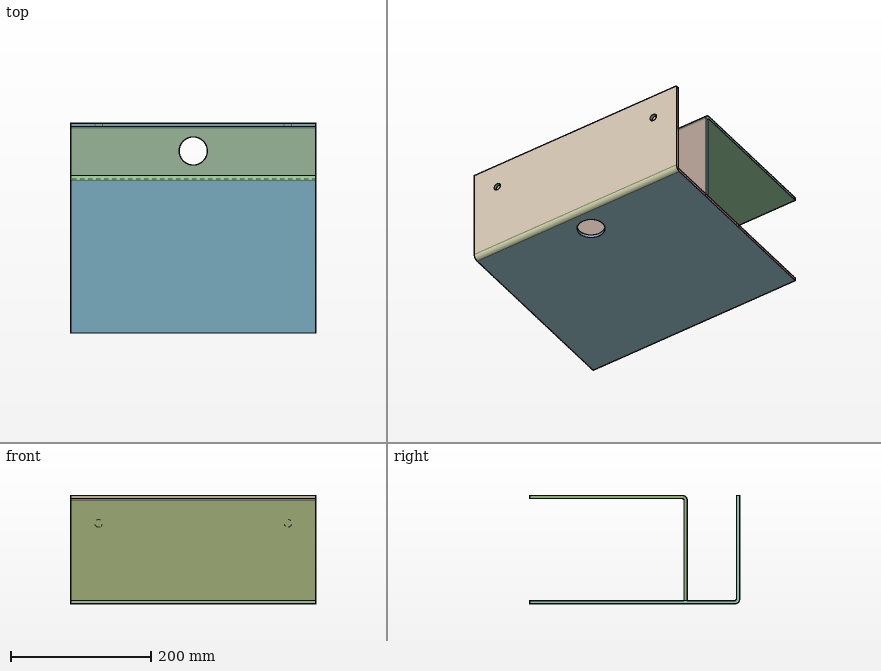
import cadquery as cq

width = 350.0
depth = 300.0
height = 155.0

sheet = 5.0
inner_bend_radius = 2.5
outer_bend_radius = inner_bend_radius + sheet

shelf_setback = 75.0

opening_diameter = 40.0
opening_setback = 40.0

mount_diameter = 11.0
mount_side_margin = 40.0
mount_top_margin = 40.0

front_y = -depth


def bent_sheet(wall_y, flange_z, wall_end_z):
    """L-shaped sheet: a wall with its back at wall_y and a flange running to the front.

    flange_z is the outer face of the flange; the wall ends at wall_end_z.
    """
    inward = 1 if wall_end_z > flange_z else -1
    inner_y = wall_y - sheet
    inner_z = flange_z + inward * sheet
    bend_y = wall_y - outer_bend_radius
    bend_z = flange_z + inward * outer_bend_radius
    diagonal = 0.5 ** 0.5

    def bend_middle(radius):
        return (bend_y + radius * diagonal, bend_z - inward * radius * diagonal)

    return (
        cq.Workplane("YZ")
        .workplane(offset=-width / 2)
        .moveTo(front_y, flange_z)
        .lineTo(bend_y, flange_z)
        .threePointArc(bend_middle(outer_bend_radius), (wall_y, bend_z))
        .lineTo(wall_y, wall_end_z)
        .lineTo(inner_y, wall_end_z)
        .lineTo(inner_y, bend_z)
        .threePointArc(bend_middle(inner_bend_radius), (bend_y, inner_z))
        .lineTo(front_y, inner_z)
        .close()
        .extrude(width)
    )


def make_bracket():
    """Base and back plate, with the round opening and the mounting holes."""
    bracket = bent_sheet(wall_y=0, flange_z=0, wall_end_z=height)
    opening = (
        cq.Workplane("XY")
        .center(0, -opening_setback)
        .circle(opening_diameter / 2)
        .extrude(sheet)
    )
    mount_x = width / 2 - mount_side_margin
    mount_z = height - mount_top_margin
    mounts = (
        cq.Workplane("XZ")
        .pushPoints([(-mount_x, mount_z), (mount_x, mount_z)])
        .circle(mount_diameter / 2)
        .extrude(sheet)
    )
    return bracket.cut(opening).cut(mounts)


def make_shelf():
    """Upright wall standing on the base, bent forward into the top shelf."""
    return bent_sheet(wall_y=-shelf_setback, flange_z=height, wall_end_z=sheet)


bracket = make_bracket()
shelf = make_shelf()

result = cq.Compound.makeCompound([bracket.val(), shelf.val()])